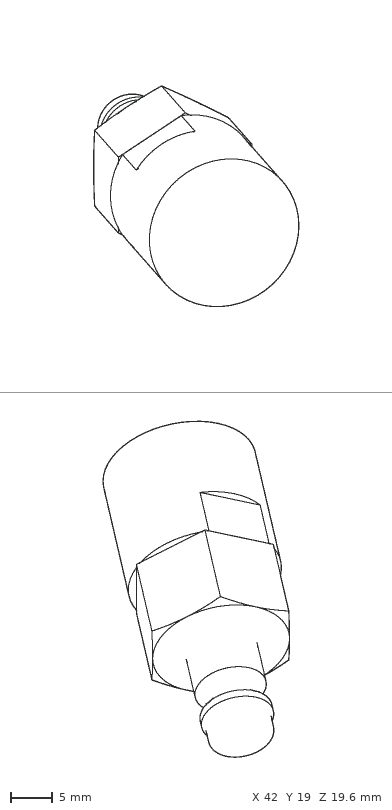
import cadquery as cq
import math

total_length = 42.0
collar_end = 4.07
stem_start = 7.73
hex_start = 14.1
hex_end = 25.0
wrench_flat_end = 31.0

tip_diameter = 8.15
collar_diameter = 9.0
neck_diameter = 6.65
stem_diameter = 8.85
collar_front = 3.05
tip_round = 0.75
collar_blend = 0.7
neck_blend = 0.6
stem_root_blend = 0.5

hex_across_flats = 16.95
hex_across_corners = hex_across_flats / math.cos(math.radians(30))
hex_chamfer_depth = 0.45
sleeve_diameter = 19.0
wrench_across_flats = 16.93
wrench_flat_angle = 30.0


def cylinder(start, end, diameter):
    return cq.Workplane("YZ", origin=(start, 0, 0)).circle(diameter / 2).extrude(end - start)


def round_edge(body, x, radius):
    """Round the circular edge centred on the axis at station x."""
    edges = body.edges("%CIRCLE").filter(lambda edge: abs(edge.arcCenter().x - x) < 0.005)
    return edges.fillet(radius)


def make_plug():
    """Turned plug with 45 degree cones beside the collar and the neck."""
    tip_radius = tip_diameter / 2
    collar_radius = collar_diameter / 2
    neck_radius = neck_diameter / 2
    stem_radius = stem_diameter / 2
    tip_end = collar_front - (collar_radius - tip_radius)
    neck_start = collar_end + (collar_radius - neck_radius)
    neck_end = stem_start - (stem_radius - neck_radius)
    plug = (
        cq.Workplane("XY")
        .polyline([
            (0, 0),
            (0, tip_radius),
            (tip_end, tip_radius),
            (collar_front, collar_radius),
            (collar_end, collar_radius),
            (neck_start, neck_radius),
            (neck_end, neck_radius),
            (stem_start, stem_radius),
            (hex_start, stem_radius),
            (hex_start, 0),
        ])
        .close()
        .revolve(360, (0, 0, 0), (1, 0, 0))
    )
    plug = round_edge(plug, 0, tip_round)
    plug = round_edge(plug, tip_end, collar_blend)
    plug = round_edge(plug, neck_start, neck_blend)
    return round_edge(plug, neck_end, neck_blend)


def make_hexagon():
    """Hexagon with corners on Z, its front corners turned off by a cone."""
    hexagon = (
        cq.Workplane("YZ", origin=(hex_start, 0, 0))
        .transformed(rotate=(0, 0, 90))
        .polygon(6, hex_across_corners)
        .extrude(hex_end - hex_start)
    )
    inner_radius = hex_across_flats / 2
    outer_radius = hex_across_corners / 2
    turned_envelope = (
        cq.Workplane("XY")
        .polyline([
            (hex_start, 0),
            (hex_start, inner_radius),
            (hex_start + hex_chamfer_depth, outer_radius),
            (hex_end, outer_radius),
            (hex_end, 0),
        ])
        .close()
        .revolve(360, (0, 0, 0), (1, 0, 0))
    )
    return hexagon.intersect(turned_envelope)


def make_sleeve():
    """Round sleeve with two opposite wrench flats just below the hexagon faces."""
    flat_length = wrench_flat_end - hex_end
    flatted_section = (
        cq.Workplane("XY")
        .box(flat_length, sleeve_diameter, wrench_across_flats)
        .rotate((0, 0, 0), (1, 0, 0), wrench_flat_angle)
        .translate((hex_end + flat_length / 2, 0, 0))
        .intersect(cylinder(hex_end, wrench_flat_end, sleeve_diameter))
    )
    return flatted_section.union(cylinder(wrench_flat_end, total_length, sleeve_diameter))


body = make_plug().union(make_hexagon()).union(make_sleeve())

stem_root = body.edges("%CIRCLE").filter(
    lambda edge: abs(edge.arcCenter().x - hex_start) < 0.005
    and abs(edge.radius() - stem_diameter / 2) < 0.005
)
result = stem_root.fillet(stem_root_blend)